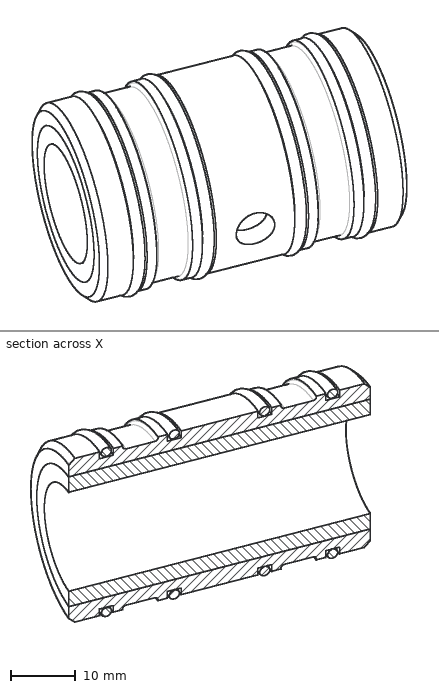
import cadquery as cq

LENGTH = 50.8
HOUSING_DIAMETER = 31.75
END_CHAMFER = 1.0

LINER_DIAMETER = 25.0
BORE_DIAMETER = 19.05

RING_OUTER_DIAMETER = 32.7
RING_SECTION_DIAMETER = 1.8
GROOVE_WIDTH = 2.3
INNER_GROOVE_OFFSET = 7.6
OUTER_GROOVE_OFFSET = 19.05

RELIEF_WIDTH = 5.9
RELIEF_DEPTH = 0.7
RELIEF_FILLET = 0.5

PORT_DIAMETER = 6.35

HOUSING_RADIUS = HOUSING_DIAMETER / 2
LINER_RADIUS = LINER_DIAMETER / 2
RING_SECTION_RADIUS = RING_SECTION_DIAMETER / 2
RING_CENTRE_RADIUS = RING_OUTER_DIAMETER / 2 - RING_SECTION_RADIUS
GROOVE_FLOOR_RADIUS = RING_CENTRE_RADIUS - RING_SECTION_RADIUS
RELIEF_FLOOR_RADIUS = HOUSING_RADIUS - RELIEF_DEPTH
RELIEF_OFFSET = (INNER_GROOVE_OFFSET + OUTER_GROOVE_OFFSET) / 2
GROOVE_POSITIONS = [
    side * offset for side in (-1, 1) for offset in (INNER_GROOVE_OFFSET, OUTER_GROOVE_OFFSET)
]
RELIEF_POSITIONS = [-RELIEF_OFFSET, RELIEF_OFFSET]

CUT_MARGIN = 1.0


def cylinder(radius, length, y=0.0):
    """Solid cylinder along Y, centred at the given Y."""
    start = cq.Workplane("XZ", origin=(0, y + length / 2, 0))
    return start.circle(radius).extrude(length)


def make_groove_cutter(y):
    """Square-cornered ring that cuts an O-ring groove."""
    blank = cylinder(HOUSING_RADIUS + CUT_MARGIN, GROOVE_WIDTH, y)
    return blank.cut(cylinder(GROOVE_FLOOR_RADIUS, GROOVE_WIDTH, y))


def make_relief_cutter(y):
    """Ring that cuts a relief with filleted floor corners."""
    blank = cylinder(HOUSING_RADIUS + CUT_MARGIN, RELIEF_WIDTH, y)
    ring = blank.cut(cylinder(RELIEF_FLOOR_RADIUS, RELIEF_WIDTH, y))
    floor_edges = ring.edges(cq.selectors.RadiusNthSelector(0))
    return floor_edges.fillet(RELIEF_FILLET)


def make_port_cutter():
    """Cylinder along +X, from the centre axis out through the housing wall."""
    port_length = HOUSING_RADIUS + CUT_MARGIN
    return cq.Workplane("YZ").circle(PORT_DIAMETER / 2).extrude(port_length)


def make_housing():
    """Chamfered sleeve with grooves, reliefs and the radial port."""
    body = cylinder(HOUSING_RADIUS, LENGTH).faces("<Y or >Y").chamfer(END_CHAMFER)
    body = body.cut(cylinder(LINER_RADIUS, LENGTH))
    for y in GROOVE_POSITIONS:
        body = body.cut(make_groove_cutter(y))
    for y in RELIEF_POSITIONS:
        body = body.cut(make_relief_cutter(y))
    return body.cut(make_port_cutter())


def make_liner():
    """Plain tube, flush with both ends of the housing."""
    return cylinder(LINER_RADIUS, LENGTH).cut(cylinder(BORE_DIAMETER / 2, LENGTH))


def make_o_ring(y):
    """Torus around Y that rests on the groove floor."""
    return cq.Solid.makeTorus(
        RING_CENTRE_RADIUS, RING_SECTION_RADIUS, cq.Vector(0, y, 0), cq.Vector(0, 1, 0)
    )


housing = make_housing()
liner = make_liner()
o_rings = [make_o_ring(y) for y in GROOVE_POSITIONS]

result = cq.Compound.makeCompound([housing.val(), liner.val(), *o_rings])